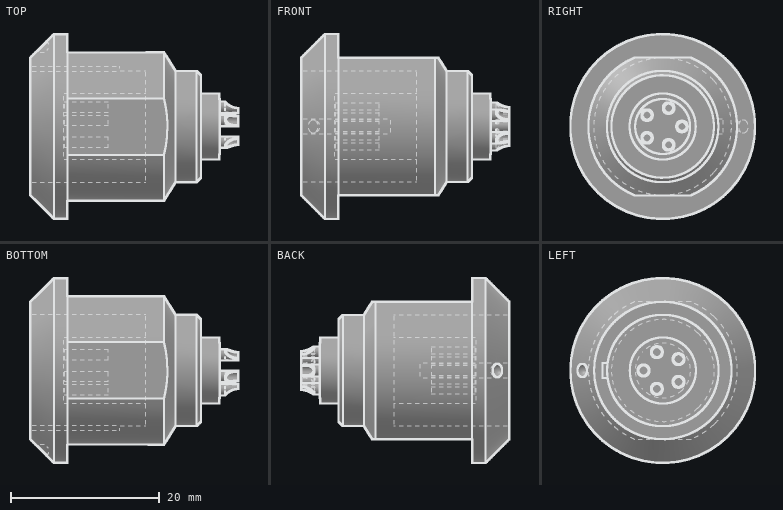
import cadquery as cq


flange_radius = 12.45
flange_chamfer = 3.2
flange_end = 5.0
face_radius = flange_radius - flange_chamfer

body_radius = 10.0
body_end = 18.0
flat_height = 9.25
neck_radius = 7.5
shoulder_end = 19.55
neck_end = 23.0
neck_chamfer = 0.6

bore_radius = 7.5
bore_depth = body_end - (body_radius - bore_radius)
keyway_width = 2.0
keyway_radius = 8.1
keyway_length = 12.0

dimple_radius = 0.9
dimple_offset = 10.85

insert_radius = 4.45
insert_start = 4.5
insert_end = 25.45
insert_pad_radius = 3.7
insert_pad_height = 0.1
insert_pad_end = insert_end + insert_pad_height

contact_count = 5
contact_circle_radius = 2.6
socket_radius = 0.68
socket_mouth_radius = 0.8
socket_mouth_chamfer = socket_mouth_radius - socket_radius
socket_depth = 6.0
cup_radius = 0.775
cup_wall = 0.16
cup_end = 28.0
cup_cut_length = 1.8
cup_cut_depth = 0.86
cup_bore_depth = cup_cut_length
cup_cut_radius = (cup_cut_length**2 + cup_cut_depth**2) / (2 * cup_cut_depth)


def rod(start, end, radius, y=0.0):
    """Cylinder along X between two stations."""
    plane = cq.Workplane("YZ", origin=(start, 0, 0))
    return plane.center(y, 0).circle(radius).extrude(end - start)


def make_flange():
    return rod(0, flange_end, flange_radius).faces("<X").chamfer(flange_chamfer)


def make_shell_body():
    """Cylinder, conical shoulder and neck, with flats on the top and bottom of the large diameter."""
    profile = [
        (0, 0),
        (0, face_radius),
        (flange_end, face_radius),
        (flange_end, body_radius),
        (body_end, body_radius),
        (shoulder_end, neck_radius),
        (neck_end - neck_chamfer, neck_radius),
        (neck_end, neck_radius - neck_chamfer),
        (neck_end, 0),
    ]
    turned = cq.Workplane("XY").polyline(profile).close().revolve(360, (0, 0, 0), (1, 0, 0))
    between_flats = cq.Workplane("XY").box(2 * neck_end, 2 * body_radius, 2 * flat_height)
    return turned.intersect(between_flats)


def make_bore():
    keyway = cq.Workplane("XY").box(
        keyway_length, keyway_radius, keyway_width, centered=(False, False, True)
    )
    return rod(0, bore_depth, bore_radius).union(keyway)


def make_dimple():
    """Ball centred on the flange chamfer."""
    dimple_x = dimple_offset - face_radius
    return cq.Workplane("XY").sphere(dimple_radius).translate((dimple_x, dimple_offset, 0))


def make_insert():
    insert = rod(insert_start, insert_end, insert_radius)
    return insert.union(rod(insert_start, insert_pad_end, insert_pad_radius))


def make_socket_hole():
    """Blind hole with a countersunk mouth, for the contact on the +Y axis."""
    profile = [
        (insert_start, 0),
        (insert_start, socket_mouth_radius),
        (insert_start + socket_mouth_chamfer, socket_radius),
        (insert_start + socket_depth, socket_radius),
        (insert_start + socket_depth, 0),
    ]
    hole = cq.Workplane("XY").polyline(profile).close().revolve(360, (0, 0, 0), (1, 0, 0))
    return hole.translate((0, contact_circle_radius, 0))


def make_solder_cup():
    """Drilled pin whose outward side is scooped away by an arc, for the contact on the +Y axis."""
    pin = rod(insert_end, cup_end, cup_radius, contact_circle_radius)
    bore = rod(cup_end - cup_bore_depth, cup_end, cup_radius - cup_wall, contact_circle_radius)
    outer_side = contact_circle_radius + cup_radius
    scoop_y = outer_side - cup_cut_depth + cup_cut_radius
    scoop = (
        cq.Workplane("XY")
        .center(cup_end, scoop_y)
        .circle(cup_cut_radius)
        .extrude(cup_radius, both=True)
    )
    return pin.cut(bore).cut(scoop)


def around_axis(feature):
    """Copies of a feature, evenly spaced around the X axis."""
    step = 360 / contact_count
    return [feature.rotate((0, 0, 0), (1, 0, 0), i * step) for i in range(contact_count)]


result = make_flange().union(make_shell_body())
result = result.cut(make_bore()).cut(make_dimple())
result = result.union(make_insert())
for socket_hole in around_axis(make_socket_hole()):
    result = result.cut(socket_hole)
for solder_cup in around_axis(make_solder_cup()):
    result = result.union(solder_cup)